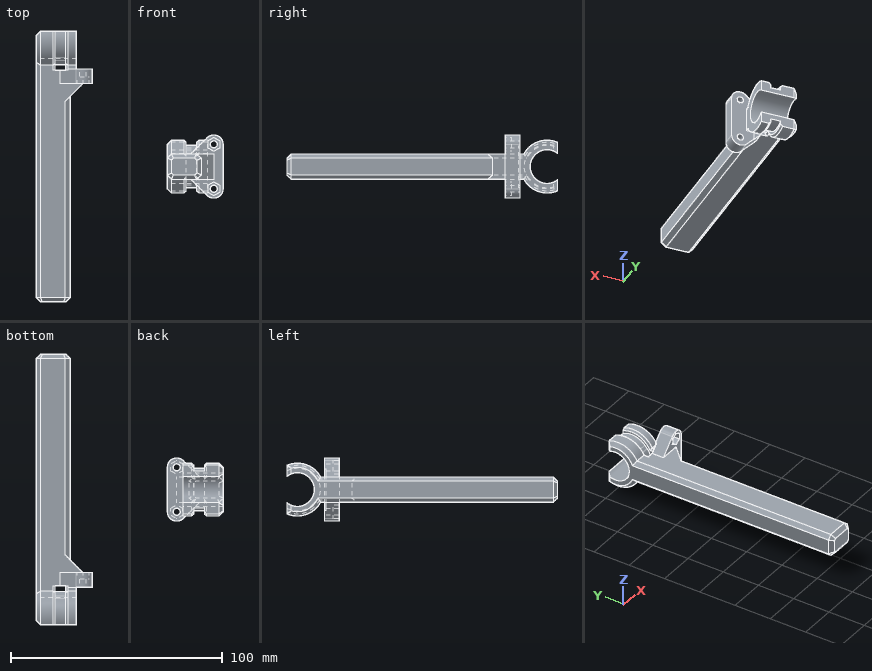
import cadquery as cq
import math

overall_length = 128
bar_width = 16.1
bar_height = 12.0
edge_chamfer = 2.0
bar_right_chamfer = 2.4

clip_width = 19.0
clip_radius = 12.5
bore_radius = 8.0
mouth_y = 5.0
bar_end_y = mouth_y - overall_length

groove_left = 9
groove_right = 14.0
groove_bevel = 1.0
groove_floor_radius = 10.1
groove_wall_y = -13.5
saddle_radius = 8.0
saddle_y = -3.0

flange_back_y = -12.8
flange_thickness = 7.0
flange_front_y = flange_back_y - flange_thickness
ear_radius = 4.5
screw_x = 22.0
screw_z = 10.5
screw_diameter = 3.2
nut_flats = 5.6
nut_depth = 3.1


def x_block(x_start, x_end, y_start, y_end, height):
    """Box centred on Z between the given X and Y limits."""
    return (
        cq.Workplane("XY")
        .box(x_end - x_start, y_end - y_start, height, centered=(False, False, True))
        .translate((x_start, y_start, 0))
    )


def x_cylinder(x_start, x_end, radius):
    """Cylinder on the bore axis."""
    return cq.Workplane("YZ", origin=(x_start, 0, 0)).circle(radius).extrude(x_end - x_start)


def clip_lobe(x_start, x_end, groove_side):
    """Disc with a strip reaching into the bar, bevelled around the side that faces the groove."""
    strip = x_block(x_start, x_end, flange_front_y, 0, bar_height)
    lobe = x_cylinder(x_start, x_end, clip_radius).union(strip)
    return lobe.faces(groove_side).edges().chamfer(groove_bevel)


def groove_core():
    """Floor of the strap groove: a disc drawn out by tangent flats to a smaller round on the bar side."""
    tangent_cosine = (groove_floor_radius - saddle_radius) / -saddle_y
    tangent_sine = math.sqrt(1 - tangent_cosine**2)
    disc_y = -groove_floor_radius * tangent_cosine
    disc_z = groove_floor_radius * tangent_sine
    round_y = saddle_y - saddle_radius * tangent_cosine
    round_z = saddle_radius * tangent_sine
    return (
        cq.Workplane("YZ", origin=(groove_left, 0, 0))
        .moveTo(disc_y, disc_z)
        .lineTo(round_y, round_z)
        .threePointArc((saddle_y - saddle_radius, 0), (round_y, -round_z))
        .lineTo(disc_y, -disc_z)
        .threePointArc((groove_floor_radius, 0), (disc_y, disc_z))
        .close()
        .extrude(groove_right - groove_left)
    )


def handle_bar():
    bar = x_block(0, bar_width, bar_end_y, groove_wall_y, bar_height)
    return bar.faces(">X").edges("|Y").chamfer(edge_chamfer, bar_right_chamfer)


def wedge():
    """Full-height neck that tapers at 45 degrees from the flange into the bar."""
    inner_x = bar_width - bar_right_chamfer
    taper = screw_x - inner_x
    flare = (
        cq.Workplane("XY")
        .polyline([
            (inner_x, flange_front_y),
            (screw_x, flange_front_y),
            (inner_x, flange_front_y - taper),
        ])
        .close()
        .extrude(bar_height / 2, both=True)
    )
    neck = x_block(0, clip_width, flange_front_y, groove_wall_y, bar_height)
    neck = neck.faces("<X").edges("|Y").chamfer(edge_chamfer)
    return flare.union(neck)


def flange():
    """Plate with two round screw ears whose edges slope at 45 degrees down to the bar."""
    half_height = bar_height / 2
    diagonal = ear_radius * math.sqrt(0.5)
    tangent_x = screw_x - diagonal
    tangent_z = screw_z + diagonal
    foot_x = tangent_x - (tangent_z - half_height)
    right_x = screw_x + ear_radius
    arc_mid = math.radians(45 + 45 / 2)
    mid_x = screw_x + ear_radius * math.cos(arc_mid)
    mid_z = screw_z + ear_radius * math.sin(arc_mid)

    plate = (
        cq.Workplane("XZ", origin=(0, flange_back_y, 0))
        .moveTo(foot_x, half_height)
        .lineTo(tangent_x, tangent_z)
        .threePointArc((mid_x, mid_z), (right_x, screw_z))
        .lineTo(right_x, -screw_z)
        .threePointArc((mid_x, -mid_z), (tangent_x, -tangent_z))
        .lineTo(foot_x, -half_height)
        .close()
        .extrude(flange_thickness)
    )
    clearance_left = groove_left - groove_bevel
    clearance_right = groove_right + groove_bevel
    flange_height = 2 * (screw_z + ear_radius)
    strap_clearance = x_block(clearance_left, clearance_right, groove_wall_y, 0, flange_height)
    return plate.cut(strap_clearance)


def screw_cuts():
    """Screw holes along Y with hexagonal nut pockets open to the front."""
    places = [(screw_x, screw_z), (screw_x, -screw_z)]
    holes = (
        cq.Workplane("XZ", origin=(0, flange_back_y, 0))
        .pushPoints(places)
        .circle(screw_diameter / 2)
        .extrude(flange_thickness)
    )
    point_radius = nut_flats / 2 / math.cos(math.radians(30))
    point_angles = [math.radians(30 + 60 * corner) for corner in range(6)]
    for x, z in places:
        corners = [(x + point_radius * math.cos(a), z + point_radius * math.sin(a)) for a in point_angles]
        nut = (
            cq.Workplane("XZ", origin=(0, flange_front_y + nut_depth, 0))
            .polyline(corners)
            .close()
            .extrude(nut_depth)
        )
        holes = holes.union(nut)
    return holes


mouth_cut = x_block(0, clip_width, mouth_y, clip_radius, 2 * clip_radius)

body = handle_bar().union(clip_lobe(0, groove_left, ">X")).cut(mouth_cut)
body = body.faces("<X").edges("not <Y").chamfer(edge_chamfer)
body = body.faces("<Y").edges().chamfer(edge_chamfer)

body = body.union(wedge())
body = body.union(groove_core().cut(mouth_cut))
body = body.union(clip_lobe(groove_right, clip_width, "<X").cut(mouth_cut))
body = body.union(flange())

bore = x_cylinder(0, clip_width, bore_radius)
result = body.cut(bore).cut(screw_cuts())